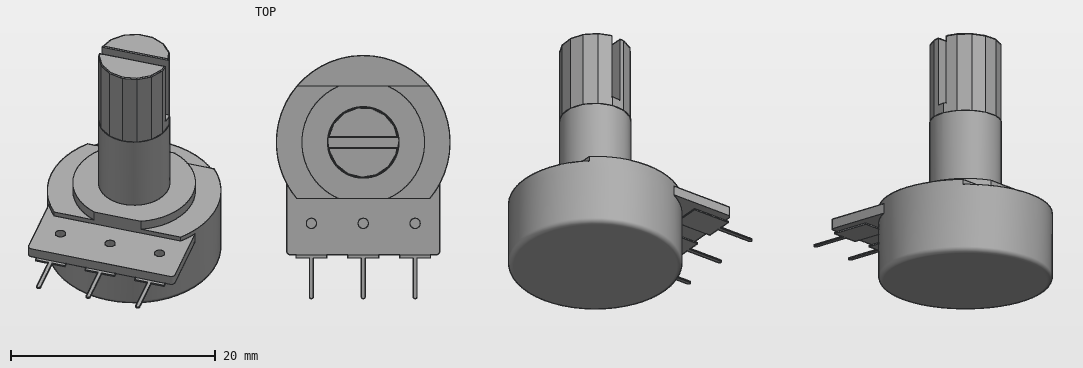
import cadquery as cq
import math


housing_diameter = 17.0
housing_height = 6.0
housing_fillet = 0.5

board_thickness = 1.0
board_width = 15.0
board_reach = 11.0
board_corner_radius = 0.4
hole_diameter = 1.0
hole_distance = 7.91

terminal_count = 3
terminal_pitch = 5.07
terminal_thickness = 0.15
lug_width = 3.05
lug_start = 7.2
lug_end = 11.32
pin_width = 0.4
pin_end = 15.3

flat_spacing = 11.0
cover_thickness = 0.5
collar_diameter = 12.0
collar_height = 1.0

total_height = 24.5
shaft_diameter = 7.0
grip_length = 8.0
grip_sides = 15
grip_turn = 4.0
slot_width = 1.0
slot_depth = 7.0
tip_chamfer = 0.1

board_bottom = housing_height
cover_bottom = board_bottom + board_thickness
collar_bottom = cover_bottom + cover_thickness
shaft_bottom = collar_bottom + collar_height
grip_bottom = total_height - grip_length
slot_bottom = total_height - slot_depth
terminal_bottom = board_bottom - terminal_thickness
terminal_places = [(i - (terminal_count - 1) / 2) * terminal_pitch for i in range(terminal_count)]


def disc(diameter, bottom, height):
    """Cylinder on the shaft axis."""
    return cq.Workplane("XY").workplane(offset=bottom).circle(diameter / 2).extrude(height)


def block(width, start, end, bottom, height):
    """Box centred on X = 0, running between two distances from the axis towards -Y."""
    return (
        cq.Workplane("XY")
        .box(width, end - start, height, centered=(True, False, False))
        .translate((0, -end, bottom))
    )


def flatted_disc(diameter, bottom, height):
    """Disc cut by the two flats parallel to X."""
    band = block(diameter, -flat_spacing / 2, flat_spacing / 2, bottom, height)
    return disc(diameter, bottom, height).intersect(band)


def make_housing():
    """Plain can with a rounded bottom edge."""
    return disc(housing_diameter, 0, housing_height).faces("<Z").edges().fillet(housing_fillet)


def make_board():
    """Disc and tongue with a row of holes through the board thickness."""
    tongue = block(board_width, 0, board_reach, board_bottom, board_thickness)
    tongue = tongue.edges("|Z and <Y").fillet(board_corner_radius)
    holes = (
        cq.Workplane("XY")
        .workplane(offset=board_bottom)
        .pushPoints([(x, -hole_distance) for x in terminal_places])
        .circle(hole_diameter / 2)
        .extrude(board_thickness)
    )
    return disc(housing_diameter, board_bottom, board_thickness).union(tongue).cut(holes)


def make_terminal():
    """Terminal at X = 0 with a round-ended pin."""
    lug = block(lug_width, lug_start, lug_end, terminal_bottom, terminal_thickness)
    pin_tip_centre = pin_end - pin_width / 2
    pin = block(pin_width, lug_start, pin_tip_centre, terminal_bottom, terminal_thickness)
    tip = disc(pin_width, terminal_bottom, terminal_thickness).translate((0, -pin_tip_centre, 0))
    return lug.union(pin).union(tip)


def make_shaft():
    """Round shaft carrying a faceted grip with a screwdriver slot along X."""
    corner_angles = [math.radians(grip_turn + 360 / grip_sides * i) for i in range(grip_sides)]
    corner_radius = shaft_diameter / 2
    corners = [(corner_radius * math.cos(a), corner_radius * math.sin(a)) for a in corner_angles]
    grip = cq.Workplane("XY").workplane(offset=grip_bottom).polyline(corners).close().extrude(grip_length)
    slot = block(shaft_diameter, -slot_width / 2, slot_width / 2, slot_bottom, slot_depth)
    grip = grip.cut(slot).faces(">Z").chamfer(tip_chamfer)
    return disc(shaft_diameter, shaft_bottom, grip_bottom - shaft_bottom).union(grip)


result = make_housing().union(make_board())
for x in terminal_places:
    result = result.union(make_terminal().translate((x, 0, 0)))
result = (
    result
    .union(flatted_disc(housing_diameter, cover_bottom, cover_thickness))
    .union(flatted_disc(collar_diameter, collar_bottom, collar_height))
    .union(make_shaft())
)